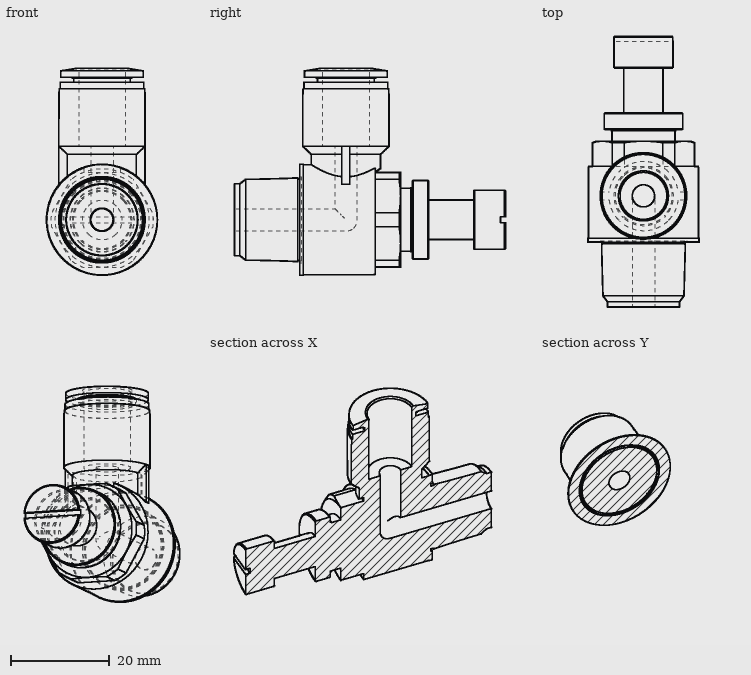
import cadquery as cq
import math

tip_end = 1.1
thread_small_end = 2.3
thread_large_end = 12.85
body_front = 13.2
body_flange_back = 13.95
body_back_taper = 28.15
body_back = 28.55
hex_back = 33.65
neck_back = 35.95
collar_back = 39.35
head_front = 48.4
overall_length = 54.9

tip_diameter = 14.6
thread_small_diameter = 16.45
thread_large_diameter = 17.0
thread_relief_diameter = 16.6
body_diameter = 22.5
body_barrel_diameter = 22.35
body_back_diameter = 22.2
face_groove_diameter = 17.5
face_groove_depth = 0.35
neck_diameter = 12.8
neck_shoulder_diameter = 13.0
neck_shoulder = 0.2
collar_diameter = 16.0
rod_diameter = 8.0
head_diameter = 12.0
edge_chamfer = 0.2
tip_chamfer = 0.1

hex_across_flats = 19.15
hex_corner_diameter = 20.7
hex_chamfer_width = 0.8
hex_chamfer_depth = 0.35

slot_width = 1.15
slot_depth = 1.0

port_y = 22.55
stem_diameter = 14.05
socket_diameter = 17.5
cone_bottom = 13.25
socket_bottom = 14.9
socket_line = 25.15
socket_top = 26.55
socket_top_diameter = 17.35
ring_diameter = 17.0
ring_top = 27.9
release_neck_diameter = 11.55
release_shoulder_diameter = 12.0
release_shoulder = 0.2
release_bottom = 28.8
release_edge = 30.15
release_top = 30.7
release_diameter = 16.8

rib_width = 1.65
rib_bottom = 7.2

tube_diameter = 9.5
tube_mouth_diameter = 10.15
tube_mouth_depth = 0.35
bore_diameter = 4.5
bore_mouth_chamfer = 0.1


def turned_y(sections):
    """Revolve (diameter, y) corners about the main axis."""
    points = [(diameter / 2, y) for diameter, y in sections]
    outline = [(0, points[0][1])] + points + [(0, points[-1][1])]
    return cq.Workplane("XY").polyline(outline).close().revolve(360, (0, 0), (0, 1))


def turned_port(sections):
    """Revolve (diameter, z) corners about the upright port axis."""
    points = [(diameter / 2, z) for diameter, z in sections]
    outline = [(0, points[0][1])] + points + [(0, points[-1][1])]
    profile = cq.Workplane("XZ", origin=(0, port_y, 0)).polyline(outline).close()
    return profile.revolve(360, (0, 0), (0, 1))


def cylinder_y(diameter, start, end, chamfer=0):
    if not chamfer:
        return turned_y([(diameter, start), (diameter, end)])
    end_diameter = diameter - 2 * chamfer
    return turned_y([
        (end_diameter, start),
        (diameter, start + chamfer),
        (diameter, end - chamfer),
        (end_diameter, end),
    ])


def threaded_end():
    return turned_y([
        (tip_diameter - 2 * tip_chamfer, 0),
        (tip_diameter, tip_chamfer),
        (tip_diameter, tip_end),
        (thread_small_diameter, thread_small_end),
        (thread_large_diameter, thread_large_end),
        (thread_relief_diameter, thread_large_end),
        (thread_relief_diameter, body_front + face_groove_depth),
    ])


def hexagon():
    corner_to_corner = hex_across_flats / math.cos(math.pi / 6)
    prism = (
        cq.Workplane("XZ", origin=(0, body_back, 0))
        .polygon(6, corner_to_corner)
        .extrude(body_back - hex_back)
    )
    envelope = turned_y([
        (hex_corner_diameter, body_back),
        (hex_corner_diameter, hex_back - hex_chamfer_depth),
        (hex_corner_diameter - 2 * hex_chamfer_width, hex_back),
    ])
    return prism.intersect(envelope)


def adjusting_screw():
    neck = turned_y([
        (neck_diameter, hex_back),
        (neck_diameter, neck_back - neck_shoulder),
        (neck_shoulder_diameter, neck_back - neck_shoulder),
        (neck_shoulder_diameter, neck_back),
    ])
    collar = cylinder_y(collar_diameter, neck_back, collar_back, edge_chamfer)
    rod = cylinder_y(rod_diameter, collar_back, head_front)
    head = cylinder_y(head_diameter, head_front, overall_length, edge_chamfer)
    slot = cq.Workplane("XY").box(head_diameter, 2 * slot_depth, slot_width)
    head = head.cut(slot.translate((0, overall_length, 0)))
    return neck.union(collar).union(rod).union(head)


def port():
    upright = turned_port([
        (stem_diameter, 0),
        (stem_diameter, cone_bottom),
        (socket_diameter, socket_bottom),
        (socket_diameter, socket_line),
        (socket_top_diameter, socket_top),
        (ring_diameter, socket_top),
        (ring_diameter, ring_top),
        (release_neck_diameter, ring_top),
        (release_neck_diameter, release_bottom - release_shoulder),
        (release_shoulder_diameter, release_bottom - release_shoulder),
        (release_shoulder_diameter, release_bottom),
        (release_diameter, release_bottom),
        (release_diameter, release_edge),
        (tube_mouth_diameter, release_top),
    ])
    hex_clearance = cylinder_y(hex_corner_diameter, body_back, hex_back)
    return upright.cut(hex_clearance)


def ribs():
    height = socket_bottom - rib_bottom
    plate = cq.Workplane("XY").box(socket_diameter, rib_width, height, centered=(True, True, False))
    return plate.translate((0, port_y, rib_bottom))


def flow_passage():
    tube = turned_port([
        (tube_diameter, socket_bottom),
        (tube_diameter, release_top - tube_mouth_depth),
        (tube_mouth_diameter, release_top),
    ])
    down_bore = turned_port([(bore_diameter, 0), (bore_diameter, socket_bottom)])
    front_bore = turned_y([
        (bore_diameter + 2 * bore_mouth_chamfer, 0),
        (bore_diameter, bore_mouth_chamfer),
        (bore_diameter, port_y),
    ])
    elbow = cq.Workplane("XY").sphere(bore_diameter / 2).translate((0, port_y, 0))
    return tube.union(down_bore).union(front_bore).union(elbow)


def banjo_body():
    return turned_y([
        (thread_relief_diameter, body_front + face_groove_depth),
        (face_groove_diameter, body_front + face_groove_depth),
        (face_groove_diameter, body_front),
        (body_diameter, body_front),
        (body_diameter, body_flange_back),
        (body_barrel_diameter, body_flange_back),
        (body_barrel_diameter, body_back_taper),
        (body_back_diameter, body_back),
    ])


solid = banjo_body().union(threaded_end()).union(hexagon()).union(adjusting_screw())
solid = solid.union(port()).union(ribs())
result = solid.cut(flow_passage())